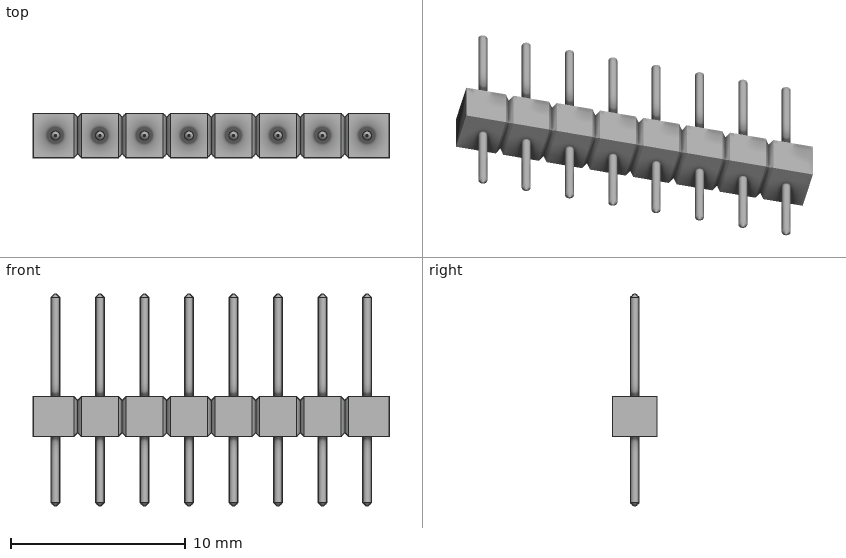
import cadquery as cq

pin_count = 8
pitch = 2.55
housing_height = 2.3
groove_depth = 0.22
pin_diameter = 0.5
pin_length = 12.11
pin_below_housing = 3.96
tip_height = 0.2
tip_flat_diameter = 0.1

housing_length = pin_count * pitch
housing_depth = pitch
groove_half_width = groove_depth
pin_bottom = -pin_below_housing
pin_top = pin_bottom + pin_length
first_pin_x = -(pin_count - 1) * pitch / 2
pin_positions = [first_pin_x + i * pitch for i in range(pin_count)]
groove_positions = [x + pitch / 2 for x in pin_positions[:-1]]


def make_half_waist(groove_x, side):
    """Block tapering from the outer edge of a groove to the narrow waist at its centre."""
    outer_edge = cq.Workplane("YZ", origin=(groove_x + side * groove_half_width, 0, housing_height / 2))
    return (
        outer_edge.rect(housing_depth, housing_height)
        .workplane(offset=-side * groove_half_width)
        .rect(housing_depth - 2 * groove_depth, housing_height - 2 * groove_depth)
        .loft()
    )


def make_groove(groove_x):
    """V-shaped ring of material cut away around all four sides between two cells."""
    ring = cq.Workplane("XY").box(
        2 * groove_half_width, housing_depth, housing_height, centered=(True, True, False)
    ).translate((groove_x, 0, 0))
    for side in (-1, 1):
        ring = ring.cut(make_half_waist(groove_x, side))
    return ring


def make_housing():
    """Bar of square cells with a V-groove between neighbours and one pin hole per cell."""
    body = cq.Workplane("XY").box(
        housing_length, housing_depth, housing_height, centered=(True, True, False)
    )
    for groove_x in groove_positions:
        body = body.cut(make_groove(groove_x))
    pin_holes = (
        cq.Workplane("XY")
        .pushPoints([(x, 0) for x in pin_positions])
        .circle(pin_diameter / 2)
        .extrude(housing_height)
    )
    return body.cut(pin_holes)


def make_pin(pin_x):
    """Straight round pin with a conical tip at each end."""
    radius = pin_diameter / 2
    tip_radius = tip_flat_diameter / 2
    half_profile = [
        (0, pin_bottom),
        (tip_radius, pin_bottom),
        (radius, pin_bottom + tip_height),
        (radius, pin_top - tip_height),
        (tip_radius, pin_top),
        (0, pin_top),
    ]
    pin = cq.Workplane("XZ").polyline(half_profile).close().revolve(360, (0, 0, 0), (0, 1, 0))
    return pin.translate((pin_x, 0, 0))


housing = make_housing()
pins = [make_pin(x) for x in pin_positions]

result = cq.Compound.makeCompound([housing.val(), *[pin.val() for pin in pins]])